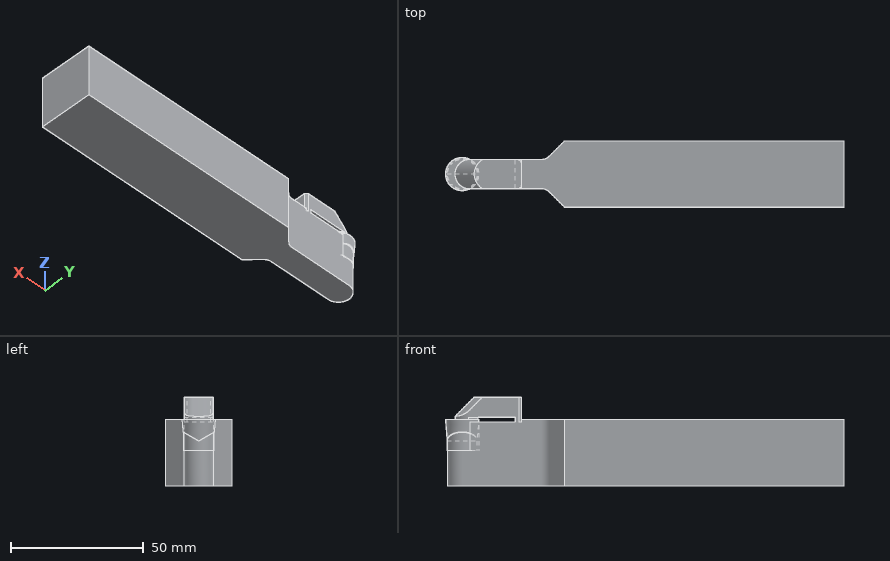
import cadquery as cq
import math

length = 150.0
shank_width = 25.0
shank_height = 25.0
half_shank = shank_width / 2
neck_width = 11.1
nose_radius = neck_width / 2
shoulder_end = 44.8
shoulder_start = shoulder_end - (half_shank - nose_radius)
shoulder_fillet = 4.0

insert_radius = 6.3
insert_x = insert_radius
insert_top = shank_height
relief_angle = 4.5
v_depth = 8.1
v_slope_angle = 30.0

keel_radius = insert_radius - v_depth * math.tan(math.radians(relief_angle))
seat_radius = keel_radius
seat_floor = 13.4
pocket_radius = insert_radius
recess_floor = 24.2

total_height = 33.5
clamp_front = 3.6
clamp_rear = 28.6
slope_foot = 26.2
slope_angle = 45.0
slope_radius = 8.1
clamp_underside = 25.8
pad_radius = 6.0
heel_start = 26.2
heel_chamfer = 1.0
top_fillet = 0.3


def cylinder(radius, bottom, top):
    """Upright cylinder on the insert's axis."""
    return cq.Workplane("XY", origin=(insert_x, 0, bottom)).circle(radius).extrude(top - bottom)


def make_v_block():
    """Prism along X with a V underside, from the keel of the V to the insert's top."""
    keel = insert_top - v_depth
    shoulder = keel + insert_radius * math.tan(math.radians(v_slope_angle))
    return (
        cq.Workplane("YZ", origin=(insert_x, 0, 0))
        .moveTo(0, keel)
        .lineTo(insert_radius, shoulder)
        .lineTo(insert_radius, insert_top)
        .lineTo(-insert_radius, insert_top)
        .lineTo(-insert_radius, shoulder)
        .close()
        .extrude(insert_radius, both=True)
    )


def make_insert():
    """Round insert: a relief cone whose underside is cut to a V."""
    cone = (
        cq.Workplane("XY", origin=(insert_x, 0, insert_top))
        .circle(insert_radius)
        .workplane(offset=-v_depth)
        .circle(keel_radius)
        .loft(ruled=True)
    )
    return cone.intersect(make_v_block())


def make_bar():
    """Shank that narrows through filleted 45 degree shoulders to a round-nosed neck."""
    bar = (
        cq.Workplane("XY")
        .moveTo(insert_x, -nose_radius)
        .lineTo(shoulder_start, -nose_radius)
        .lineTo(shoulder_end, -half_shank)
        .lineTo(length, -half_shank)
        .lineTo(length, half_shank)
        .lineTo(shoulder_end, half_shank)
        .lineTo(shoulder_start, nose_radius)
        .lineTo(insert_x, nose_radius)
        .threePointArc((insert_x - nose_radius, 0), (insert_x, -nose_radius))
        .close()
        .extrude(shank_height)
    )
    inner_corners = [(shoulder_start, side * nose_radius, shank_height / 2) for side in (-1, 1)]
    for corner in inner_corners:
        bar = bar.edges(cq.selectors.NearestToPointSelector(corner)).fillet(shoulder_fillet)
    return bar


def make_recess():
    """Shallow step that lowers the top of the neck under the clamp."""
    recess_depth = shank_height - recess_floor
    return cq.Workplane("XY", origin=(0, 0, recess_floor)).box(
        clamp_rear, neck_width, recess_depth, centered=(False, True, False)
    )


def make_seat():
    """Round post below the insert, with a V groove that matches the insert's underside."""
    return cylinder(seat_radius, seat_floor, recess_floor).cut(make_v_block())


def make_slope_envelope():
    """Half-round tilted bar whose curved side is the clamp's front slope."""
    reach = 2 * total_height
    return (
        cq.Workplane("XY")
        .moveTo(0, -slope_radius)
        .threePointArc((-slope_radius, 0), (0, slope_radius))
        .lineTo(reach, slope_radius)
        .lineTo(reach, -slope_radius)
        .close()
        .extrude(reach, both=True)
        .translate((slope_radius, 0, 0))
        .rotate((0, 0, 0), (0, 1, 0), slope_angle)
        .translate((clamp_front, 0, slope_foot))
    )


def make_clamp():
    """Clamp finger: a round pad on the insert, a sloping rounded front and a heel in the recess."""
    front_center = clamp_front + nose_radius
    finger = (
        cq.Workplane("XY", origin=(0, 0, recess_floor))
        .moveTo(front_center, -nose_radius)
        .lineTo(clamp_rear, -nose_radius)
        .lineTo(clamp_rear, nose_radius)
        .lineTo(front_center, nose_radius)
        .threePointArc((clamp_front, 0), (front_center, -nose_radius))
        .close()
        .extrude(total_height - recess_floor)
        .edges("|Z and >X")
        .chamfer(heel_chamfer)
        .faces(">Z")
        .edges()
        .fillet(top_fillet)
    )
    under_gap = cq.Workplane("XY", origin=(0, 0, recess_floor)).box(
        heel_start, neck_width, clamp_underside - recess_floor, centered=(False, True, False)
    )
    pad = cylinder(pad_radius, insert_top, clamp_underside)
    return finger.cut(under_gap.cut(pad)).intersect(make_slope_envelope())


insert = make_insert()
holder = (
    make_bar()
    .cut(make_recess())
    .cut(cylinder(pocket_radius, seat_floor, shank_height))
    .union(make_seat())
    .union(make_clamp())
)

result = cq.Compound.makeCompound([holder.solids().val(), insert.val()])